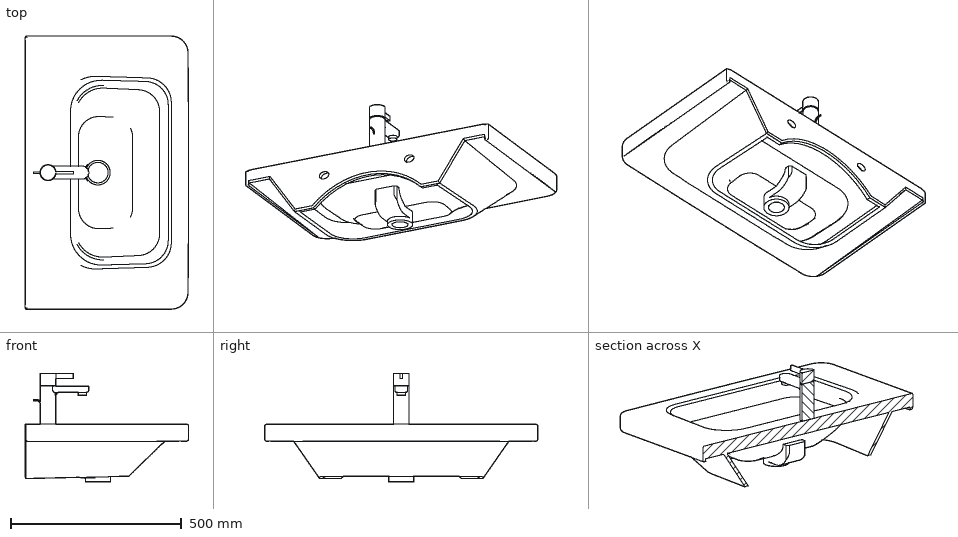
import cadquery as cq
import math

DECK_DEPTH = 480.09
DECK_HALF_WIDTH = 799.96 / 2
DECK_THICKNESS = 50.0
FRONT_BOW = 2.5
CORNER_RADIUS = 50.0
TOP_EDGE_RADIUS = 6.0
BOTTOM_EDGE_RADIUS = 7.0
WALL_EDGE_DEPTH = 3.0
WALL_EDGE_WIDTH = 8.0
WALL_TOP_CHAMFER = 1.5
UNDERSIDE_BACK_Z = -34.0
RIM_WIDTH = 12.0

SKIRT_TOP_Z = UNDERSIDE_BACK_Z
SKIRT_TOP_HALF_WIDTH = 326.0
SKIRT_TOP_FRONT = 426.0
SKIRT_BOTTOM_Z = -159.5
SKIRT_BOTTOM_HALF_WIDTH = 239.0
SKIRT_BOTTOM_FRONT = 297.0
SKIRT_CORNER_RADIUS = 89.0
SKIRT_FRONT_Z = -149.5
SKIRT_WALL = 14.0
ARCH_HALF_WIDTH = 177.0
ARCH_TOP_Z = -88.0
PANEL_EDGE_DEPTH = 3.0
PANEL_EDGE_WIDTH = 6.5
MOUNT_HOLE_Y = 140.0
MOUNT_HOLE_Z = -64.0
MOUNT_HOLE_WIDTH = 31.0
MOUNT_HOLE_HEIGHT = 22.5

BOWL_SECTIONS = [
    (0.0, 112.0, 429.0, 285.0, 275.0, 95.0, 72.0),
    (-6.0, 134.0, 420.0, 273.0, 265.0, 90.0, 68.0),
    (-27.0, 143.0, 408.0, 258.0, 250.0, 85.0, 65.0),
    (-52.0, 148.0, 395.0, 251.0, 240.0, 80.0, 65.0),
    (-83.0, 152.0, 345.0, 214.0, 204.0, 72.0, 62.0),
    (-104.0, 157.0, 316.0, 167.0, 160.0, 60.0, 60.0),
]
DISH_DIAMETER = 78.0
FLOOR_Z = -118.0
BOWL_WALL = 14.0
FRONT_CORNER_MARGIN = 1.0
BOWL_BASE_Z = -131.0
BOWL_BASE_INSET = 20.0

DRAIN_X = 214.0
DRAIN_BOSS_DIAMETER = 74.0
DRAIN_BOSS_BOTTOM_Z = -168.6
DRAIN_BORE_DIAMETER = 46.0
PLUG_DIAMETER = 60.0
PLUG_THICKNESS = 5.0
PLUG_DOME = 3.0
RING_DIAMETER = 72.0
RING_SEAT = 2.0
RING_TOP_Z = FLOOR_Z - 2.0

CHANNEL_HALF_WIDTH = 36.0
CHANNEL_FLANK = 7.0
CHANNEL_BOTTOM_Z = -157.0
CHANNEL_BACK_X = 118.0
CHANNEL_TOP_Z = -86.0
CHANNEL_BEND_Z = -110.0

TAP_X = 68.0
TAP_DIAMETER = 46.74
BODY_TOP_Z = 111.5
NECK_DIAMETER = 44.0
HANDLE_BOTTOM_Z = 114.0
HANDLE_TOP_Z = 148.69
LEVER_END_X = 142.5
LEVER_WIDTH = 8.0
LEVER_HEIGHT = 15.5
LEVER_EDGE_RADIUS = 2.0
SPOUT_END_X = 187.5
SPOUT_WIDTH = 38.0
SPOUT_BOTTOM_Z = 93.0
SPOUT_TOP_RADIUS = 2.0
SPOUT_BOTTOM_RADIUS = 7.0
SPOUT_ROOT_FLARE = 7.0
AERATOR_DIAMETER = 25.0
AERATOR_BOTTOM_Z = 84.5
AERATOR_SEAT = 5.0
ROD_DIAMETER = 4.0
ROD_END_X = 26.0
ROD_TOP_Z = 70.5
ROD_BEND_RADIUS = 13.0
ROD_LOW_X = 47.5


def vertical_cylinder(bottom_z, diameter, height, x):
    """Vertical cylinder on the symmetry plane, upwards from the given level."""
    return cq.Workplane("XY", origin=(x, 0, bottom_z)).circle(diameter / 2).extrude(height)


def box_between(x, y, z):
    """Box given by its (low, high) limits along each axis."""
    size = [high - low for low, high in (x, y, z)]
    return cq.Workplane("XY").box(*size, centered=False).translate((x[0], y[0], z[0]))


def bowl_outline(z, back, front, back_half, front_half, back_radius, front_radius):
    """Rounded trapezoid that narrows slightly towards the front."""
    corners = [(back, -back_half, z), (front, -front_half, z), (front, front_half, z), (back, back_half, z)]
    wire = cq.Wire.makePolygon([cq.Vector(*corner) for corner in corners], close=True)
    middle = (back + front) / 2
    back_corners = [v for v in wire.Vertices() if v.X < middle]
    wire = wire.fillet2D(back_radius, back_corners)
    front_corners = [v for v in wire.Vertices() if v.X > front - FRONT_CORNER_MARGIN]
    return wire.fillet2D(front_radius, front_corners)


def loft(wires, ruled=True):
    return cq.Workplane(obj=cq.Solid.makeLoft(wires, ruled))


def bowl_cavity():
    """Sloping lip, walls that ease into the floor, and a shallow dish that falls to the drain."""
    outlines = [bowl_outline(*section) for section in BOWL_SECTIONS]
    drain_edge = cq.Wire.makeCircle(DISH_DIAMETER / 2, cq.Vector(DRAIN_X, 0, FLOOR_Z), cq.Vector(0, 0, 1))
    dish = loft([outlines[-1], drain_edge])
    return loft(outlines).union(dish)


def bowl_shell():
    """Outside of the bowl, below the deck, before the cavity is cut."""
    def grown(section, z, wall):
        _, back, front, back_half, front_half, back_radius, front_radius = section
        return bowl_outline(
            z, back - wall, front + wall, back_half + wall, front_half + wall,
            back_radius + wall, front_radius + wall,
        )
    walls = [grown(section, section[0], BOWL_WALL) for section in BOWL_SECTIONS[-4:]]
    return loft(walls + [grown(BOWL_SECTIONS[-1], BOWL_BASE_Z, -BOWL_BASE_INSET)], ruled=False)


def deck():
    corner_x = DECK_DEPTH - FRONT_BOW
    slab = (
        cq.Workplane("XY", origin=(0, 0, -DECK_THICKNESS))
        .moveTo(0, -DECK_HALF_WIDTH + WALL_EDGE_WIDTH)
        .lineTo(WALL_EDGE_DEPTH, -DECK_HALF_WIDTH)
        .lineTo(corner_x, -DECK_HALF_WIDTH)
        .threePointArc((DECK_DEPTH, 0), (corner_x, DECK_HALF_WIDTH))
        .lineTo(WALL_EDGE_DEPTH, DECK_HALF_WIDTH)
        .lineTo(0, DECK_HALF_WIDTH - WALL_EDGE_WIDTH)
        .close()
        .extrude(DECK_THICKNESS)
        .edges("|Z").edges(">X").fillet(CORNER_RADIUS)
    )
    slab = slab.faces(">Z").edges("not <X").fillet(TOP_EDGE_RADIUS)
    slab = slab.faces("<Z").edges("not <X").fillet(BOTTOM_EDGE_RADIUS)
    slab = slab.faces("<X").edges(">Z").chamfer(WALL_TOP_CHAMFER)
    hollow_half = DECK_HALF_WIDTH - RIM_WIDTH
    hollow = (
        cq.Workplane("XZ", origin=(0, hollow_half, 0))
        .moveTo(0, UNDERSIDE_BACK_Z)
        .lineTo(PANEL_EDGE_DEPTH, UNDERSIDE_BACK_Z - PANEL_EDGE_WIDTH)
        .lineTo(DECK_DEPTH - RIM_WIDTH - FRONT_BOW, -DECK_THICKNESS)
        .lineTo(0, -DECK_THICKNESS)
        .close()
        .extrude(2 * hollow_half)
    )
    return slab.cut(hollow)


def skirt_block(back, inset):
    """Tapered block under the deck with rounded front corners, inset from its outer walls."""
    radius = SKIRT_CORNER_RADIUS - inset

    def outline(z, front, half_width):
        half = half_width - inset
        wire = cq.Wire.makePolygon(
            [cq.Vector(x, y, z) for x, y in
             [(back, -half), (front - inset, -half), (front - inset, half), (back, half)]],
            close=True,
        )
        return wire.fillet2D(radius, [v for v in wire.Vertices() if v.X > back + radius])

    return loft([
        outline(SKIRT_TOP_Z, SKIRT_TOP_FRONT, SKIRT_TOP_HALF_WIDTH),
        outline(SKIRT_BOTTOM_Z, SKIRT_BOTTOM_FRONT, SKIRT_BOTTOM_HALF_WIDTH),
    ])


def panel_edge():
    """Wall side of the panel, whose outline is bevelled all along the sides, feet and arch."""
    side_slope = (SKIRT_TOP_HALF_WIDTH - SKIRT_BOTTOM_HALF_WIDTH) / (SKIRT_TOP_Z - SKIRT_BOTTOM_Z)
    top_z = SKIRT_TOP_Z + PANEL_EDGE_WIDTH
    top_half = SKIRT_TOP_HALF_WIDTH + side_slope * PANEL_EDGE_WIDTH
    outline = (
        cq.Workplane("YZ")
        .moveTo(-top_half, top_z)
        .lineTo(-SKIRT_BOTTOM_HALF_WIDTH, SKIRT_BOTTOM_Z)
        .lineTo(-ARCH_HALF_WIDTH, SKIRT_BOTTOM_Z)
        .threePointArc((0, ARCH_TOP_Z), (ARCH_HALF_WIDTH, SKIRT_BOTTOM_Z))
        .lineTo(SKIRT_BOTTOM_HALF_WIDTH, SKIRT_BOTTOM_Z)
        .lineTo(top_half, top_z)
        .close()
    ).val()
    wall_outline = outline.offset2D(-PANEL_EDGE_WIDTH, "intersection")[0]
    return loft([wall_outline, outline.moved(cq.Location(cq.Vector(PANEL_EDGE_DEPTH, 0, 0)))])


def skirt():
    """Open-bottomed skirt: wall panel with an arch, two sides and a sloping front."""
    block = skirt_block(0, 0)
    base_trim = (
        cq.Workplane("XZ", origin=(0, DECK_HALF_WIDTH, 0))
        .moveTo(0, SKIRT_BOTTOM_Z)
        .lineTo(SKIRT_TOP_FRONT, SKIRT_FRONT_Z)
        .lineTo(SKIRT_TOP_FRONT, SKIRT_BOTTOM_Z)
        .close()
        .extrude(2 * DECK_HALF_WIDTH)
    )
    edge_relief = box_between(
        (0, PANEL_EDGE_DEPTH), (-DECK_HALF_WIDTH, DECK_HALF_WIDTH), (SKIRT_BOTTOM_Z, SKIRT_TOP_Z)
    )
    arch = (
        cq.Workplane("YZ")
        .moveTo(-ARCH_HALF_WIDTH, SKIRT_BOTTOM_Z)
        .threePointArc((0, ARCH_TOP_Z), (ARCH_HALF_WIDTH, SKIRT_BOTTOM_Z))
        .close()
        .extrude(SKIRT_WALL)
    )
    block = block.cut(base_trim).cut(arch)
    block = block.cut(edge_relief).union(panel_edge())
    return block.cut(skirt_block(SKIRT_WALL, SKIRT_WALL))


def mount_holes():
    return (
        cq.Workplane("YZ")
        .pushPoints([(-MOUNT_HOLE_Y, MOUNT_HOLE_Z), (MOUNT_HOLE_Y, MOUNT_HOLE_Z)])
        .ellipse(MOUNT_HOLE_WIDTH / 2, MOUNT_HOLE_HEIGHT / 2)
        .extrude(SKIRT_WALL)
    )


def overflow_channel():
    """Raised channel from the back of the bowl down to the drain boss."""
    boss_back = DRAIN_X - DRAIN_BOSS_DIAMETER / 2
    drop = CHANNEL_BEND_Z - CHANNEL_BOTTOM_Z
    run = boss_back - CHANNEL_BACK_X
    bend_mid = (
        boss_back - run * math.cos(math.pi / 4),
        CHANNEL_BOTTOM_Z + drop * (1 - math.sin(math.pi / 4)),
    )
    channel = (
        cq.Workplane("XZ", origin=(0, CHANNEL_HALF_WIDTH, 0))
        .moveTo(CHANNEL_BACK_X, CHANNEL_TOP_Z)
        .lineTo(CHANNEL_BACK_X, CHANNEL_BEND_Z)
        .threePointArc(bend_mid, (boss_back, CHANNEL_BOTTOM_Z))
        .lineTo(DRAIN_X, CHANNEL_BOTTOM_Z)
        .lineTo(DRAIN_X, CHANNEL_TOP_Z)
        .close()
        .extrude(2 * CHANNEL_HALF_WIDTH)
    )
    return channel.edges("|Z").edges("<X").chamfer(CHANNEL_FLANK)


def build_basin():
    boss = vertical_cylinder(DRAIN_BOSS_BOTTOM_Z, DRAIN_BOSS_DIAMETER, FLOOR_Z - DRAIN_BOSS_BOTTOM_Z, DRAIN_X)
    body = deck().union(skirt()).union(bowl_shell()).union(boss).union(overflow_channel())
    ring_bottom = RING_TOP_Z - RING_SEAT - PLUG_THICKNESS
    seat = vertical_cylinder(ring_bottom, RING_DIAMETER, FLOOR_Z - ring_bottom, DRAIN_X)
    bore = vertical_cylinder(DRAIN_BOSS_BOTTOM_Z, DRAIN_BORE_DIAMETER, -DRAIN_BOSS_BOTTOM_Z, DRAIN_X)
    return body.cut(bowl_cavity()).cut(seat).cut(bore).cut(mount_holes())


def build_drain_ring():
    bottom = RING_TOP_Z - RING_SEAT - PLUG_THICKNESS
    ring = vertical_cylinder(bottom, RING_DIAMETER, RING_TOP_Z - bottom, DRAIN_X)
    bore = vertical_cylinder(bottom, DRAIN_BORE_DIAMETER, RING_SEAT, DRAIN_X)
    recess = vertical_cylinder(bottom + RING_SEAT, PLUG_DIAMETER, PLUG_THICKNESS, DRAIN_X)
    return ring.cut(bore).cut(recess)


def build_plug():
    """Disc with a shallow domed top."""
    radius = PLUG_DIAMETER / 2
    sphere_radius = (radius ** 2 + PLUG_DOME ** 2) / (2 * PLUG_DOME)
    half = radius / 2
    dome_at_half = PLUG_DOME - (sphere_radius - math.sqrt(sphere_radius ** 2 - half ** 2))
    return (
        cq.Workplane("XZ", origin=(DRAIN_X, 0, RING_TOP_Z - PLUG_THICKNESS))
        .lineTo(radius, 0)
        .lineTo(radius, PLUG_THICKNESS)
        .threePointArc((half, PLUG_THICKNESS + dome_at_half), (0, PLUG_THICKNESS + PLUG_DOME))
        .close()
        .revolve(360, (0, 0, 0), (0, 1, 0))
    )


def build_aerator():
    height = SPOUT_BOTTOM_Z + AERATOR_SEAT - AERATOR_BOTTOM_Z
    return vertical_cylinder(AERATOR_BOTTOM_Z, AERATOR_DIAMETER, height, SPOUT_END_X - SPOUT_WIDTH / 2)


def build_rod():
    """Pop-up rod: rises out of the back of the tap and bends to the horizontal."""
    low = (ROD_LOW_X, ROD_TOP_Z - ROD_BEND_RADIUS)
    bend_end = (ROD_LOW_X - ROD_BEND_RADIUS, ROD_TOP_Z)
    reach = ROD_BEND_RADIUS * math.sin(math.pi / 4)
    bend_mid = (bend_end[0] + reach, low[1] + reach)
    path = cq.Workplane("XZ").moveTo(*low).threePointArc(bend_mid, bend_end).lineTo(ROD_END_X, ROD_TOP_Z)
    return cq.Workplane("XY", origin=(low[0], 0, low[1])).circle(ROD_DIAMETER / 2).sweep(path)


def spout():
    half = SPOUT_WIDTH / 2
    tip_center = SPOUT_END_X - half
    arm = (
        cq.Workplane("XY", origin=(0, 0, SPOUT_BOTTOM_Z))
        .moveTo(TAP_X, -half)
        .lineTo(tip_center, -half)
        .threePointArc((SPOUT_END_X, 0), (tip_center, half))
        .lineTo(TAP_X, half)
        .close()
        .extrude(BODY_TOP_Z - SPOUT_BOTTOM_Z)
    )
    arm = arm.faces(">Z").edges("not <X").fillet(SPOUT_TOP_RADIUS)
    return arm.faces("<Z").edges("not <X").fillet(SPOUT_BOTTOM_RADIUS)


def spout_root():
    """Flare between the column and the underside of the spout, as wide as the spout's flat underside."""
    flare = cq.Workplane(obj=cq.Solid.makeCone(
        TAP_DIAMETER / 2,
        TAP_DIAMETER / 2 + SPOUT_ROOT_FLARE,
        SPOUT_ROOT_FLARE,
        pnt=cq.Vector(TAP_X, 0, SPOUT_BOTTOM_Z - SPOUT_ROOT_FLARE),
    ))
    half = SPOUT_WIDTH / 2 - SPOUT_BOTTOM_RADIUS
    return flare.intersect(box_between((TAP_X, SPOUT_END_X), (-half, half), (0, BODY_TOP_Z)))


def build_tap_body(aerator, rod):
    column = vertical_cylinder(0, TAP_DIAMETER, BODY_TOP_Z, TAP_X)
    neck = vertical_cylinder(BODY_TOP_Z, NECK_DIAMETER, HANDLE_BOTTOM_Z - BODY_TOP_Z, TAP_X)
    return column.union(spout()).union(spout_root()).union(neck).cut(aerator).cut(rod)


def build_handle():
    cap = vertical_cylinder(HANDLE_BOTTOM_Z, TAP_DIAMETER, HANDLE_TOP_Z - HANDLE_BOTTOM_Z, TAP_X)
    lever = box_between(
        (TAP_X, LEVER_END_X),
        (-LEVER_WIDTH / 2, LEVER_WIDTH / 2),
        (HANDLE_TOP_Z - LEVER_HEIGHT, HANDLE_TOP_Z),
    )
    lever = lever.edges("|X and >Z").fillet(LEVER_EDGE_RADIUS)
    return cap.union(lever)


basin = build_basin()
drain_ring = build_drain_ring()
plug = build_plug()
aerator = build_aerator()
rod = build_rod()
tap_body = build_tap_body(aerator, rod)
handle = build_handle()

bodies = [basin, drain_ring, plug, tap_body, handle, aerator, rod]
result = cq.Compound.makeCompound([body.solids().val() for body in bodies])